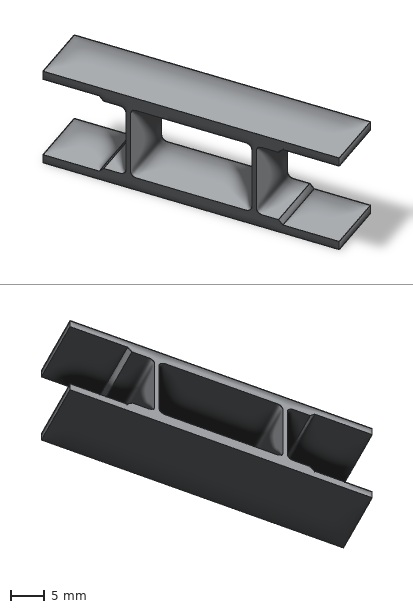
import cadquery as cq

length = 50.0
width = 10.5
height = 17.0

flange_thickness = 1.5
pad_thickness = 2.25
pad_base_half_length = 15.5
pad_slope_run = 0.75

web_thickness = 0.75
web_outer_half_span = 11.0
web_fillet_radius = 1.0

half_length = length / 2
half_height = height / 2
flange_inner_z = half_height - flange_thickness
pad_inner_z = half_height - pad_thickness
pad_face_half_length = pad_base_half_length - pad_slope_run
web_center_x = web_outer_half_span - web_thickness / 2


def make_top_flange():
    """Flat bar whose underside steps down, through slopes, to a central pad."""
    outline = [
        (-half_length, half_height),
        (half_length, half_height),
        (half_length, flange_inner_z),
        (pad_base_half_length, flange_inner_z),
        (pad_face_half_length, pad_inner_z),
        (-pad_face_half_length, pad_inner_z),
        (-pad_base_half_length, flange_inner_z),
        (-half_length, flange_inner_z),
    ]
    return cq.Workplane("XZ").polyline(outline).close().extrude(width / 2, both=True)


def make_web(center_x):
    """Upright plate reaching from pad to pad."""
    web_height = 2 * pad_inner_z
    return cq.Workplane("XY").box(web_thickness, width, web_height).translate((center_x, 0, 0))


def fillet_web_roots(body):
    """Round the inside corners where both webs meet the pads."""
    selection_margin = web_thickness
    root_zone = cq.selectors.BoxSelector(
        (-web_outer_half_span - selection_margin, -width, -pad_inner_z - selection_margin / 2),
        (web_outer_half_span + selection_margin, width, pad_inner_z + selection_margin / 2),
    )
    return body.edges("|Y").edges(root_zone).fillet(web_fillet_radius)


top_flange = make_top_flange()
bottom_flange = top_flange.mirror("XY")
body = top_flange.union(bottom_flange)
for side in (-1, 1):
    body = body.union(make_web(side * web_center_x))

result = fillet_web_roots(body)